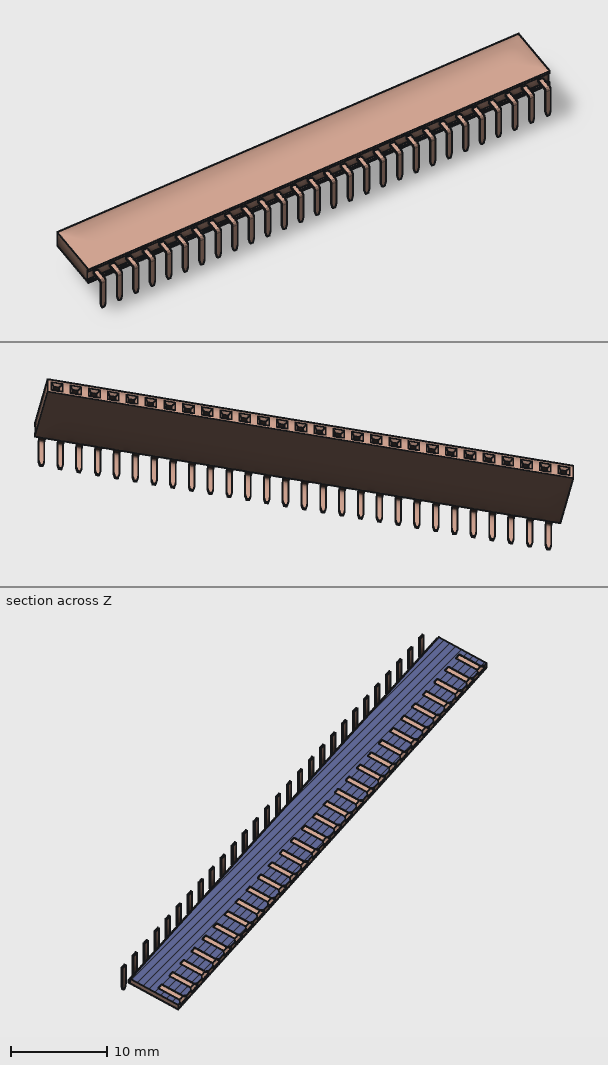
import cadquery as cq

pin_count = 28
pitch = 2.0

body_depth = 6.35
body_height = 2.0
body_length = pin_count * pitch
channel_depth = 0.25
channel_height = 1.4

socket_mouth = 1.2
hole_size = 0.6
funnel_depth = (socket_mouth - hole_size) / 2
hole_end_x = 3.0
tongue_start_x = 1.0
tongue_width = 0.5

overall_depth = 7.72
overall_height = 4.9
pin_width = 0.6
pin_thickness = 0.2
pin_top_z = pin_thickness / 2
pin_tip_z = body_height / 2 - overall_height
pin_tip_width = 0.3
pin_tip_length = 0.6
bend_outer_radius = 0.28
bend_inner_radius = bend_outer_radius - pin_thickness
pin_embed = 0.5

channel_floor_x = body_depth - channel_depth
pin_start_x = channel_floor_x - pin_embed
first_pin_y = -(pin_count - 1) * pitch / 2
pin_positions = [first_pin_y + i * pitch for i in range(pin_count)]


def make_body():
    """Long block with a shallow channel along the rear face."""
    block = cq.Workplane("XY").box(body_depth, body_length, body_height, centered=(False, True, True))
    channel = (
        cq.Workplane("XY")
        .box(channel_depth, body_length, channel_height, centered=(False, True, True))
        .translate((channel_floor_x, 0, 0))
    )
    return block.cut(channel)


def make_socket():
    """Cutter for one socket: funnel and hole, less the contact tongue on the hole's end wall."""
    funnel = (
        cq.Workplane("YZ")
        .rect(socket_mouth, socket_mouth)
        .workplane(offset=funnel_depth)
        .rect(hole_size, hole_size)
        .loft()
    )
    hole = (
        cq.Workplane("YZ", origin=(funnel_depth, 0, 0))
        .rect(hole_size, hole_size)
        .extrude(hole_end_x - funnel_depth)
    )
    tongue = (
        cq.Workplane("YZ", origin=(tongue_start_x, 0, 0))
        .rect(tongue_width, pin_thickness)
        .extrude(hole_end_x - tongue_start_x)
    )
    return funnel.union(hole).cut(tongue)


def make_pin():
    """Flat strip that leaves the channel, bends down and ends in a tapered tip."""
    outer_x = overall_depth
    inner_x = outer_x - pin_thickness
    top_z = pin_top_z
    under_z = top_z - pin_thickness
    bent_strip = (
        cq.Workplane("XZ")
        .moveTo(pin_start_x, top_z)
        .lineTo(outer_x - bend_outer_radius, top_z)
        .radiusArc((outer_x, top_z - bend_outer_radius), bend_outer_radius)
        .lineTo(outer_x, pin_tip_z)
        .lineTo(inner_x, pin_tip_z)
        .lineTo(inner_x, under_z - bend_inner_radius)
        .radiusArc((inner_x - bend_inner_radius, under_z), -bend_inner_radius)
        .lineTo(pin_start_x, under_z)
        .close()
        .extrude(pin_width / 2, both=True)
    )
    taper_start_z = pin_tip_z + pin_tip_length
    tapered_outline = (
        cq.Workplane("YZ", origin=(pin_start_x, 0, 0))
        .moveTo(-pin_width / 2, top_z)
        .lineTo(-pin_width / 2, taper_start_z)
        .lineTo(-pin_tip_width / 2, pin_tip_z)
        .lineTo(pin_tip_width / 2, pin_tip_z)
        .lineTo(pin_width / 2, taper_start_z)
        .lineTo(pin_width / 2, top_z)
        .close()
        .extrude(overall_depth - pin_start_x)
    )
    return bent_strip.intersect(tapered_outline)


def along_row(part):
    """Copies of a part at every contact position."""
    copies = [part.val().translate(cq.Vector(0, y, 0)) for y in pin_positions]
    return cq.Workplane("XY").newObject([cq.Compound.makeCompound(copies)])


housing = make_body().cut(along_row(make_socket()))
result = housing.union(along_row(make_pin()))